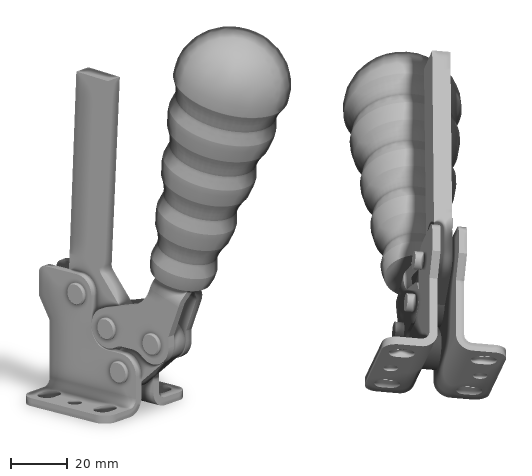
import cadquery as cq
import math


sheet = 3.0
gap = 6.5
plate_inner = gap / 2
plate_outer = plate_inner + sheet

arm_pivot = (12.8, 39.2)
handle_pivot = (26.8, 29.3)
link_pivot = (47.7, 27.8)
base_pivot = (32.5, 14.4)

base_length = 40.0
base_width = 44.5
base_half_width = base_width / 2
base_height = 46.4
step_height = 21.3
step_x = 19.3
rear_overhang = 5.0
overhang_bottom = 35.1
overhang_root = 26.8
arm_pivot_corner = 6.7
base_pivot_corner = 7.0
handle_pivot_cove = 7.5
rear_corner = 3.0
bend_inner = 3.0
bend_outer = bend_inner + sheet
foot_corner = 5.0

hole_centre_x = 20.0
slot_spacing = 25.9
slot_width = 6.5
slot_length = 9.2
slot_y = 14.7
round_hole_diameter = 5.0
round_hole_y = 16.0

arm_top_left = (9.8, 119.8)
arm_top_right = (24.4, 119.2)
arm_elbow = (20.5, 48.3)
arm_elbow_radius = 3.0
arm_rear_radius = 6.7
arm_pivot_radius = 7.7

link_radius = 7.0

grip_lean = math.radians(17.4)
grip_base = (55.5, 53.4)
handle_pivot_radius = 7.3
link_pivot_radius = 7.5
handle_top_slope = math.radians(16)
handle_bottom_z = 24.0
handle_cove_radius = 6.8
handle_front_kink_z = 32.0
tang_half_width = 7.0
tang_bend_start = -7.7
tang_top = 3.0
tang_bend_angle = math.radians(35)
tang_bend_inner = 2.5
tang_bend_outer = tang_bend_inner + sheet

ring_count = 4
ring_pitch = 19.8
band_start, band_start_radius = -1.6, 11.0
band_end, band_end_radius = 5.6, 12.0
neck, neck_radius = 10.7, 10.9
dome_edge_radius = 20.8
ring_growth = (dome_edge_radius - band_start_radius) / ring_count
band_bulge = 0.3
neck_hollow = 0.5

first_rounded_ring = 2
edge_rounding = 0.6

dome_overhang = 0.1
dome_height = 98.7

pin_head_diameter = 8.0
pin_head_height = 1.2
pin_head_chamfer = 0.5
pin_tail_diameter = 6.4
pin_tail_y = 9.4


def offset(point, angle, distance):
    """Point at a distance from another, in the direction of an angle from the first axis of their plane."""
    return (point[0] + distance * math.cos(angle), point[1] + distance * math.sin(angle))


def angle_to(start, end):
    """Direction from one point to another, as an angle from the first axis of their plane."""
    return math.atan2(end[1] - start[1], end[0] - start[0])


def prism(outline, near_y, far_y):
    """Extrude an outline of the XZ plane from near_y to far_y."""
    return outline.extrude(near_y - far_y).translate((0, near_y, 0))


def rounded_outline(corners):
    """Closed XZ outline through (x, z, radius) corners, each rounded by its radius."""
    outline = None
    for i, (x, z, radius) in enumerate(corners):
        corner = (x, z)
        back = angle_to(corner, corners[i - 1][:2])
        ahead = angle_to(corner, corners[(i + 1) % len(corners)][:2])
        half = abs(math.remainder(ahead - back, 2 * math.pi)) / 2
        start = offset(corner, back, radius / math.tan(half))
        outline = outline.lineTo(*start) if outline else cq.Workplane("XZ").moveTo(*start)
        if radius:
            middle = back + math.remainder(ahead - back, 2 * math.pi) / 2
            crown = offset(corner, middle, radius / math.sin(half) - radius)
            outline = outline.threePointArc(crown, offset(corner, ahead, radius / math.tan(half)))
    return outline.close()


def bar_outline(first, second, radius):
    """Round-ended bar about two centres."""
    along = angle_to(first, second)
    side = along + math.pi / 2
    return (
        cq.Workplane("XZ")
        .moveTo(*offset(first, side, radius))
        .lineTo(*offset(second, side, radius))
        .threePointArc(offset(second, along, radius), offset(second, side, -radius))
        .lineTo(*offset(first, side, -radius))
        .threePointArc(offset(first, along, -radius), offset(first, side, radius))
        .close()
    )


def disc_outline(centre, radius):
    return cq.Workplane("XZ").center(*centre).circle(radius)


def base_bracket():
    """One bent side plate with its foot, on the +Y side."""
    diagonal = math.sqrt(0.5)
    bend_y = plate_inner + bend_outer
    bend_z = bend_outer
    section = (
        cq.Workplane("YZ")
        .moveTo(plate_inner, base_height)
        .lineTo(plate_inner, bend_z)
        .threePointArc((bend_y - bend_outer * diagonal, bend_z - bend_outer * diagonal), (bend_y, 0))
        .lineTo(base_half_width, 0)
        .lineTo(base_half_width, sheet)
        .lineTo(bend_y, sheet)
        .threePointArc(
            (bend_y - bend_inner * diagonal, bend_z - bend_inner * diagonal), (plate_outer, bend_z)
        )
        .lineTo(plate_outer, base_height)
        .close()
        .extrude(base_length + rear_overhang)
        .translate((-rear_overhang, 0, 0))
    )
    outline = rounded_outline([
        (0, 0, 0),
        (base_length, 0, 0),
        (base_length, step_height, base_pivot_corner),
        (step_x, step_height, handle_pivot_cove),
        (step_x, base_height, arm_pivot_corner),
        (-rear_overhang, base_height, rear_corner),
        (-rear_overhang, overhang_bottom, 0),
        (0, overhang_root, 0),
    ])
    bracket = section.intersect(prism(outline, 0, base_half_width))
    bracket = bracket.edges("|Z").edges(">Y").fillet(foot_corner)

    slots = (
        cq.Workplane("XY")
        .center(hole_centre_x, slot_y)
        .rarray(slot_spacing, 1.5, 2, 1)
        .slot2D(slot_length, slot_width, 90)
        .extrude(sheet)
    )
    round_hole = (
        cq.Workplane("XY")
        .center(hole_centre_x, round_hole_y)
        .circle(round_hole_diameter / 2)
        .extrude(sheet)
    )
    return bracket.cut(slots).cut(round_hole)


def clamping_arm():
    """Upright bar with an elbow that reaches from its own pivot to the handle pivot."""
    elbow_to_pivot = angle_to(arm_elbow, handle_pivot)
    reach = math.dist(arm_elbow, handle_pivot)
    elbow_edge = elbow_to_pivot + math.asin(arm_pivot_radius / reach)
    edge_length = math.sqrt(reach**2 - arm_pivot_radius**2)
    edge_end = offset(arm_elbow, elbow_edge, edge_length)
    bar_lean = angle_to(arm_top_left, arm_top_right)
    rear_edge_end = offset(arm_pivot, bar_lean, -arm_rear_radius)
    upright = rounded_outline([
        (*arm_top_left, 0),
        (*arm_top_right, 0),
        (*arm_elbow, arm_elbow_radius),
        (*edge_end, 0),
        (*handle_pivot, 0),
        (*arm_pivot, 0),
        (*rear_edge_end, 0),
    ])
    arm = prism(upright, -plate_inner, plate_inner)
    for outline in (
        bar_outline(arm_pivot, handle_pivot, arm_rear_radius),
        disc_outline(handle_pivot, arm_pivot_radius),
    ):
        arm = arm.union(prism(outline, -plate_inner, plate_inner))
    return arm


def on_grip(along, across):
    """XZ point given along the grip axis from the grip's lower end, and across it."""
    return offset(offset(grip_base, math.pi / 2 - grip_lean, along), -grip_lean, across)


def handle_plate():
    """Flat part of the handle plate on the +Y side, up to where it bends inward."""
    front_corner = on_grip(tang_bend_start, tang_half_width)
    back_corner = on_grip(tang_bend_start, -tang_half_width)
    top_start = offset(handle_pivot, handle_top_slope + math.pi / 2, handle_pivot_radius)

    turn = math.pi / 2 - grip_lean - handle_top_slope
    to_corner = angle_to(top_start, back_corner) - handle_top_slope
    corner_distance = math.dist(top_start, back_corner)
    run = corner_distance * math.cos(to_corner)
    rise = corner_distance * math.sin(to_corner)
    tangent_length = rise / math.sin(turn)
    top_end = offset(top_start, handle_top_slope, run - tangent_length * (1 + math.cos(turn)))

    cove_z = handle_bottom_z - handle_cove_radius
    front_reach = link_pivot_radius + handle_cove_radius
    rear_reach = handle_pivot_radius + handle_cove_radius
    front_cove = (link_pivot[0] - math.sqrt(front_reach**2 - (link_pivot[1] - cove_z) ** 2), cove_z)
    rear_cove = (handle_pivot[0] + math.sqrt(rear_reach**2 - (handle_pivot[1] - cove_z) ** 2), cove_z)
    front_turn = angle_to(link_pivot, front_cove)
    rear_turn = angle_to(handle_pivot, rear_cove)

    front_x = link_pivot[0] + link_pivot_radius
    outline = (
        cq.Workplane("XZ")
        .moveTo(*top_start)
        .lineTo(*top_end)
        .tangentArcPoint(back_corner, relative=False)
        .lineTo(*front_corner)
        .lineTo(front_x, handle_front_kink_z)
        .lineTo(front_x, link_pivot[1])
        .tangentArcPoint(offset(link_pivot, front_turn, link_pivot_radius), relative=False)
        .tangentArcPoint((front_cove[0], handle_bottom_z), relative=False)
        .lineTo(rear_cove[0], handle_bottom_z)
        .tangentArcPoint(offset(handle_pivot, rear_turn, handle_pivot_radius), relative=False)
        .threePointArc(offset(handle_pivot, math.pi, handle_pivot_radius), top_start)
        .close()
    )
    return prism(outline, plate_inner, plate_outer)


def tang():
    """Upper end of the +Y handle plate: bent inward to the middle plane, then up into the grip."""
    centre = (plate_outer - tang_bend_outer, tang_bend_start)
    outer_end = offset(centre, tang_bend_angle, tang_bend_outer)
    inner_end = offset(centre, tang_bend_angle, tang_bend_inner)
    strip = (
        cq.Workplane("YZ")
        .moveTo(plate_outer, tang_bend_start)
        .threePointArc(offset(centre, tang_bend_angle / 2, tang_bend_outer), outer_end)
        .lineTo(sheet, outer_end[1] + (outer_end[0] - sheet) / math.tan(tang_bend_angle))
        .lineTo(sheet, tang_top)
        .lineTo(0, tang_top)
        .lineTo(0, inner_end[1] + inner_end[0] / math.tan(tang_bend_angle))
        .lineTo(*inner_end)
        .threePointArc(
            offset(centre, tang_bend_angle / 2, tang_bend_inner), (plate_inner, tang_bend_start)
        )
        .close()
        .extrude(tang_half_width, both=True)
    )
    return place_on_grip(strip)


def place_on_grip(upright):
    """Lean a body built about the Z axis and move it to the grip's lower end."""
    leaning = upright.rotate((0, 0, 0), (0, 1, 0), math.degrees(grip_lean))
    return leaning.translate((grip_base[0], 0, grip_base[1]))


def is_rounded(radius):
    """Whether a grip edge of this radius is one of the softened ridges of the upper rings."""
    ridges = [band_end_radius + ring * ring_growth for ring in range(first_rounded_ring, ring_count)]
    ridges += [band_start_radius + ring * ring_growth for ring in range(first_rounded_ring, ring_count + 1)]
    return any(math.isclose(radius, ridge, abs_tol=0.01) for ridge in ridges)


def grip():
    """Revolved grip: tapered bands parted by hollow necks, under a domed end."""
    profile = cq.Workplane("XZ").lineTo(band_start_radius, 0)
    low = (band_start_radius, 0)
    for ring in range(ring_count):
        rise = ring * ring_pitch
        growth = ring * ring_growth
        high = (band_end_radius + growth, band_end + rise)
        waist = (neck_radius + growth, neck + rise)
        following = (band_start_radius + growth + ring_growth, band_start + rise + ring_pitch)
        band_middle = ((low[0] + high[0]) / 2 + band_bulge, (low[1] + high[1]) / 2)
        hollow_middle = (
            (waist[0] + following[0]) / 2 - neck_hollow,
            (waist[1] + following[1]) / 2,
        )
        profile = (
            profile.threePointArc(band_middle, high)
            .lineTo(*waist)
            .threePointArc(hollow_middle, following)
        )
        low = following
    dome_radius = low[0] + dome_overhang
    edge_angle = -math.acos(low[0] / dome_radius)
    dome_rise = (dome_height - low[1]) / (1 - math.sin(edge_angle))
    profile = profile.ellipseArc(
        dome_radius, dome_rise, math.degrees(edge_angle), 90, startAtCurrent=True
    ).close()
    body = profile.revolve(360, (0, 0, 0), (0, 1, 0))
    body = body.edges("%CIRCLE").filter(lambda edge: is_rounded(edge.radius())).fillet(edge_rounding)
    return place_on_grip(body)


def pin(centre):
    """Rivet with a chamfered head on the -Y side and a plain tail on the +Y side."""
    head_top = -plate_outer - pin_head_height
    shank = prism(disc_outline(centre, pin_tail_diameter / 2), -plate_outer, pin_tail_y)
    head = prism(disc_outline(centre, pin_head_diameter / 2), head_top, -plate_outer)
    return shank.union(head.faces("<Y").chamfer(pin_head_chamfer))


link = prism(bar_outline(base_pivot, link_pivot, link_radius), -plate_inner, plate_inner)
result = clamping_arm().union(link)
for side_part in (base_bracket(), handle_plate(), tang()):
    result = result.union(side_part).union(side_part.mirror("XZ"))
for pivot in (arm_pivot, handle_pivot, link_pivot, base_pivot):
    result = result.union(pin(pivot))
result = result.union(grip())